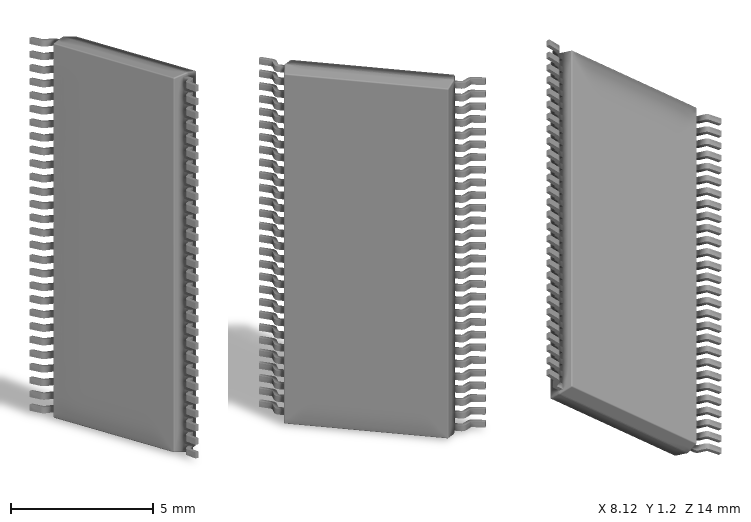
import cadquery as cq
import math

body_width = 6.09
body_length = 14.0
body_top = 1.2
body_bottom = 0.05
band_top = 0.66
band_bottom = 0.6
draft_angle = 10.0
edge_radius = 0.05

leads_per_side = 28
lead_row_length = 13.52
lead_pitch = lead_row_length / (leads_per_side - 1)
lead_width = 0.22
lead_thickness = 0.15
lead_span = 8.12
shoulder_height = 0.53
inner_bend_radius = 0.05
shank_angle = math.radians(66.0)
foot_angle = math.radians(8.0)
foot_length = 0.48
lead_embedment = 0.21
lead_root_x = body_width / 2 - lead_embedment


def body_slab(start, height, taper):
    """Full-size rectangle at Y = start, extruded along Y by the signed height."""
    plane = cq.Plane(origin=(0, start, 0), xDir=(1, 0, 0), normal=(0, math.copysign(1, height), 0))
    return cq.Workplane(plane).rect(body_width, body_length).extrude(abs(height), taper=taper)


def make_body():
    upper = body_slab(band_top, body_top - band_top, draft_angle)
    lower = body_slab(band_bottom, body_bottom - band_bottom, draft_angle)
    band = body_slab(band_bottom, band_top - band_bottom, 0)
    block = band.union(upper).union(lower)
    return block.edges("(not (|X or |Z)) or >Y or <Y").fillet(edge_radius)


def normal_offset(centre, angle, distance):
    """Point at the given distance from centre, along the upper normal of a run falling at angle."""
    return (centre[0] + distance * math.sin(angle), centre[1] + distance * math.cos(angle))


def lead_profile():
    """Outline of one right-hand lead: shoulder, bend, shank, heel bend and sloping foot."""
    half = lead_thickness / 2
    outer_radius = inner_bend_radius + lead_thickness
    mid_radius = inner_bend_radius + half

    tip_x = lead_span / 2
    tip_half = half / math.cos(foot_angle)
    tip_y = tip_half

    foot_start = (tip_x - foot_length * math.cos(foot_angle), tip_y + foot_length * math.sin(foot_angle))
    heel = normal_offset(foot_start, foot_angle, mid_radius)

    knee_y = shoulder_height - mid_radius
    normal_gap = 2 * mid_radius
    shank_length = (knee_y - heel[1] + normal_gap * math.cos(shank_angle)) / math.sin(shank_angle)
    knee_x = heel[0] - shank_length * math.cos(shank_angle) - normal_gap * math.sin(shank_angle)
    knee = (knee_x, knee_y)

    shank_mid = shank_angle / 2
    heel_mid = (shank_angle + foot_angle) / 2
    return (
        cq.Workplane("XY")
        .moveTo(lead_root_x, shoulder_height + half)
        .lineTo(*normal_offset(knee, 0, outer_radius))
        .threePointArc(
            normal_offset(knee, shank_mid, outer_radius),
            normal_offset(knee, shank_angle, outer_radius),
        )
        .lineTo(*normal_offset(heel, shank_angle, -inner_bend_radius))
        .threePointArc(
            normal_offset(heel, heel_mid, -inner_bend_radius),
            normal_offset(heel, foot_angle, -inner_bend_radius),
        )
        .lineTo(tip_x, tip_y + tip_half)
        .lineTo(tip_x, tip_y - tip_half)
        .lineTo(*normal_offset(heel, foot_angle, -outer_radius))
        .threePointArc(
            normal_offset(heel, heel_mid, -outer_radius),
            normal_offset(heel, shank_angle, -outer_radius),
        )
        .lineTo(*normal_offset(knee, shank_angle, inner_bend_radius))
        .threePointArc(
            normal_offset(knee, shank_mid, inner_bend_radius),
            normal_offset(knee, 0, inner_bend_radius),
        )
        .lineTo(lead_root_x, shoulder_height - half)
        .close()
    )


def make_leads():
    """Both rows of leads, centred along Z."""
    right_lead = lead_profile().extrude(lead_width / 2, both=True).val()
    left_lead = right_lead.mirror("YZ")
    leads = []
    for index in range(leads_per_side):
        z = (index - (leads_per_side - 1) / 2) * lead_pitch
        leads.append(right_lead.translate(cq.Vector(0, 0, z)))
        leads.append(left_lead.translate(cq.Vector(0, 0, z)))
    return leads


body = make_body().val()
result = cq.Workplane(body.fuse(*make_leads()))